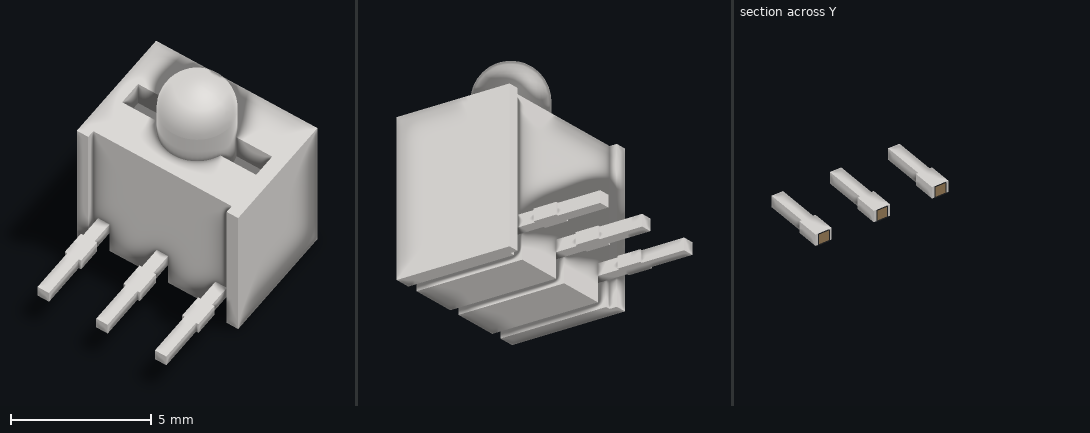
import cadquery as cq

housing_width = 7.0
housing_depth = 4.98
housing_height = 6.37
flange_width = 0.5
panel_setback = 0.32

overall_height = 9.05
lens_diameter = 2.9
lens_radius = lens_diameter / 2
lens_center_y = housing_depth / 2
dome_base_z = overall_height - lens_radius
slot_length = 5.81
slot_width = 1.005
slot_depth = 1.09

overall_depth = 8.46
lead_reach = overall_depth - housing_depth
lead_size = 0.5
lead_pitch = 2.54
lead_bottom_z = 1.03
shoulder_width = 0.71
shoulder_length = 1.005
shoulder_start = 0.615
lead_positions = [-lead_pitch, 0, lead_pitch]


def box(width, depth, height, x_center, y_start, z_start):
    """Box centred on x_center that grows toward +Y and +Z from its start values."""
    return cq.Workplane("XY").box(width, depth, height, centered=(True, False, False)).translate(
        (x_center, y_start, z_start)
    )


def make_housing():
    block = box(housing_width, housing_depth, housing_height, 0, 0, 0)
    panel_width = housing_width - 2 * flange_width
    block = block.cut(box(panel_width, panel_setback, housing_height, 0, 0, 0))
    slot_y = lens_center_y - slot_width / 2
    return block.cut(box(slot_length, slot_width, slot_depth, 0, slot_y, housing_height - slot_depth))


def make_lens():
    bottom_z = housing_height - slot_depth
    body = (
        cq.Workplane("XY", origin=(0, lens_center_y, bottom_z))
        .circle(lens_radius)
        .extrude(dome_base_z - bottom_z)
    )
    dome = cq.Workplane("XY").sphere(lens_radius).translate((0, lens_center_y, dome_base_z))
    return body.union(dome)


def make_lead_channel(x):
    """Channel as wide as a lead, open at the bottom and running through the housing."""
    return box(lead_size, housing_depth, lead_bottom_z, x, 0, 0)


def make_lead(x):
    bar = box(lead_size, lead_reach + panel_setback, lead_size, x, -lead_reach, lead_bottom_z)
    shoulder_y = -shoulder_start - shoulder_length
    shoulder = box(shoulder_width, shoulder_length, lead_size, x, shoulder_y, lead_bottom_z)
    return bar.union(shoulder)


result = make_housing().union(make_lens())
for lead_x in lead_positions:
    result = result.cut(make_lead_channel(lead_x)).union(make_lead(lead_x))